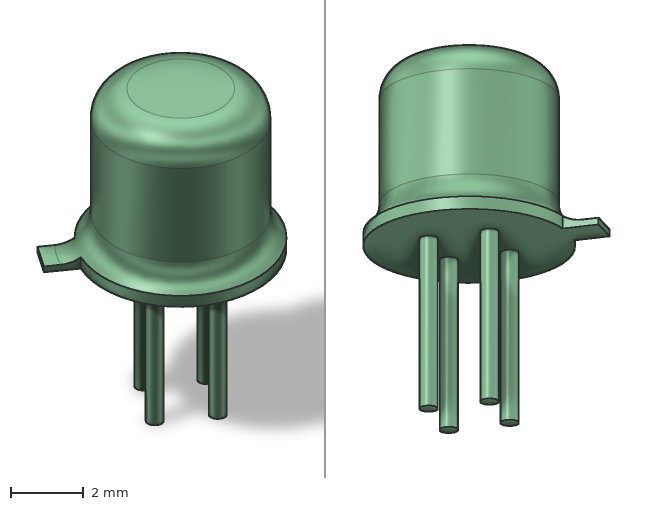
import cadquery as cq
import math

can_radius = 2.485
can_height = 5.3
dome_radius = 1.0
flange_radius = 2.925
flare_radius = 1.0

tab_thickness = 0.2
tab_width = 1.0
tab_reach = 3.92
tab_angle = 225.0

lead_diameter = 0.51
lead_length = 5.0
lead_circle_radius = 1.25
lead_count = 4


def make_flared_can():
    """Revolved can whose wall sweeps out into a thin disc reaching past the tab."""
    disc_radius = tab_reach + tab_width
    flare_top = tab_thickness + flare_radius
    flare_foot = can_radius + flare_radius
    dome_start = can_height - dome_radius
    dome_flat = can_radius - dome_radius
    diagonal = math.sqrt(0.5)

    dome_middle = (dome_flat + dome_radius * diagonal, dome_start + dome_radius * diagonal)
    flare_middle = (flare_foot - flare_radius * diagonal, flare_top - flare_radius * diagonal)

    return (
        cq.Workplane("XZ")
        .lineTo(disc_radius, 0)
        .lineTo(disc_radius, tab_thickness)
        .lineTo(flare_foot, tab_thickness)
        .threePointArc(flare_middle, (can_radius, flare_top))
        .lineTo(can_radius, dome_start)
        .threePointArc(dome_middle, (dome_flat, can_height))
        .lineTo(0, can_height)
        .close()
        .revolve(360, (0, 0, 0), (0, 1, 0))
    )


def make_outline():
    """Full-height prism with the plan outline: the round flange plus the tab."""
    flange = cq.Workplane("XY").circle(flange_radius).extrude(can_height)
    tab = (
        cq.Workplane("XY")
        .box(tab_reach, tab_width, can_height, centered=(False, True, False))
        .rotate((0, 0, 0), (0, 0, 1), tab_angle)
    )
    return flange.union(tab)


def make_leads():
    """Round leads, evenly spaced on a circle and hanging below the seating plane."""
    return (
        cq.Workplane("XY")
        .polarArray(lead_circle_radius, 0, 360, lead_count)
        .circle(lead_diameter / 2)
        .extrude(-lead_length)
    )


can = make_flared_can().intersect(make_outline())
result = can.union(make_leads())